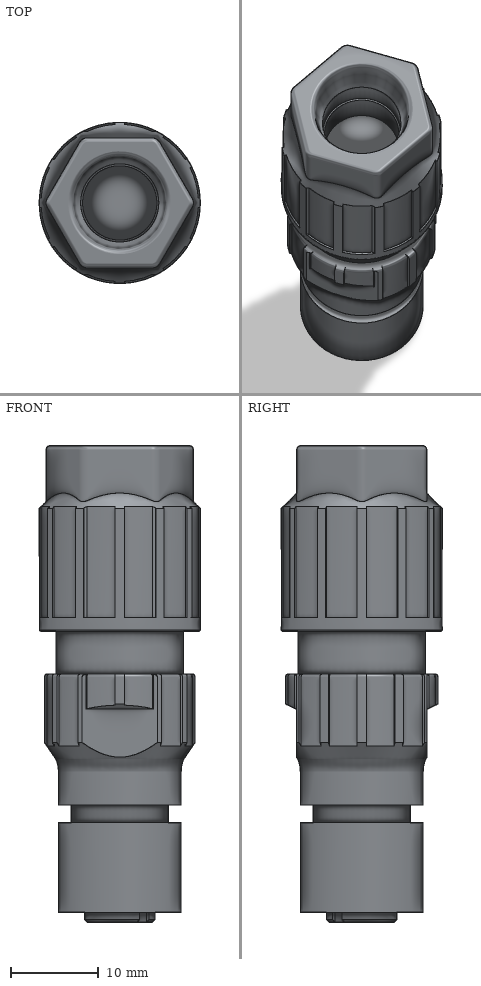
import cadquery as cq
import math

total_height = 54.4
sleeve_cone_top = 49.05
sleeve_shoulder = 47.2
sleeve_rib_bottom = 34.75
sleeve_bottom = 33.2
collar_top = 28.35
collar_cone_top = 20.5
collar_cone_bottom = 18.6
body_fillet_bottom = 17.2
groove_top = 13.4
groove_bottom = 11.35
plug_bottom = 1.15

neck_radius = 7.3
body_radius = 7.0
groove_radius = 5.55
plug_radius = 4.0
plug_chamfer = 0.3

rib_count = 12
rib_width = 1.1
rib_pitch = 360 / rib_count
slab_length = 54.4

sleeve_radius = 9.2
sleeve_rib_height = 0.2
sleeve_valley_radius = sleeve_radius - sleeve_rib_height
sleeve_lip_chamfer = 0.15
land_distance = 8.15

hex_across_flats = 14.85
hex_corner_radius = 1.1
hex_top_radius = 0.5

entry_radius = 5.4
entry_lip_radius = 0.5
bore_radius = 4.45
bore_top = 50.75
bore_ledge = 47.7
inner_bore_radius = 4.25
inner_bore_floor = 43.5

collar_radius = 8.6
collar_rib_height = 0.25
collar_valley_radius = collar_radius - collar_rib_height
collar_cone_end_radius = neck_radius
collar_top_radius = 0.3
flat_distance = 7.45
tab_width = 7.7
tab_reach = 8.7
tab_root_height = 24.3
tab_edge_height = 24.9

keyway_angle = -45
keyway_width = 1.5
keyway_depth = 0.45


def cylinder(radius, bottom, top):
    return cq.Workplane("XY").workplane(offset=bottom).circle(radius).extrude(top - bottom)


def radial_slab(angle, width, bottom, top):
    """Slab across the axis, running along the direction at an angle from X."""
    return (
        cq.Workplane("XY")
        .workplane(offset=bottom)
        .rect(slab_length, width)
        .extrude(top - bottom)
        .rotate((0, 0, 0), (0, 0, 1), angle)
    )


def all_rib_slabs(bottom, top):
    slabs = radial_slab(0, rib_width, bottom, top)
    for index in range(1, rib_count // 2):
        slabs = slabs.union(radial_slab(index * rib_pitch, rib_width, bottom, top))
    return slabs


def sleeve():
    """Turned sleeve with a 45 degree shoulder and valleys milled between the ribs."""
    cone_top_radius = sleeve_radius - (sleeve_cone_top - sleeve_shoulder)
    blank = (
        cq.Workplane("XZ")
        .moveTo(0, sleeve_bottom)
        .lineTo(sleeve_radius - sleeve_lip_chamfer, sleeve_bottom)
        .lineTo(sleeve_radius, sleeve_bottom + sleeve_lip_chamfer)
        .lineTo(sleeve_radius, sleeve_shoulder)
        .lineTo(cone_top_radius, sleeve_cone_top)
        .lineTo(0, sleeve_cone_top)
        .close()
        .revolve(360, (0, 0, 0), (0, 1, 0))
    )
    valleys = cylinder(slab_length / 2, sleeve_rib_bottom, sleeve_cone_top)
    valleys = valleys.cut(cylinder(sleeve_valley_radius, sleeve_rib_bottom, sleeve_cone_top))
    valleys = valleys.cut(all_rib_slabs(sleeve_rib_bottom, sleeve_cone_top))
    land_span = 2 * sleeve_radius * math.sin(math.radians(rib_pitch))
    lands = cq.Workplane("XY").box(land_span, 2 * land_distance, 2 * total_height)
    return blank.cut(valleys.cut(lands))


def hexagon_head():
    head_height = total_height - sleeve_shoulder
    corner_diameter = hex_across_flats / math.cos(math.pi / 6)
    return (
        cq.Workplane("XY")
        .workplane(offset=sleeve_shoulder)
        .polygon(6, corner_diameter)
        .extrude(head_height)
        .edges("|Z")
        .fillet(hex_corner_radius)
        .faces(">Z")
        .edges()
        .fillet(hex_top_radius)
    )


def cable_entry():
    """Rounded mouth, bowl-shaped wall, then a stepped blind bore."""
    lip_bottom = total_height - entry_lip_radius
    return (
        cq.Workplane("XZ")
        .moveTo(0, total_height)
        .lineTo(entry_radius + entry_lip_radius, total_height)
        .radiusArc((entry_radius, lip_bottom), -entry_lip_radius)
        .tangentArcPoint((bore_radius, bore_top), relative=False)
        .lineTo(bore_radius, bore_ledge)
        .lineTo(inner_bore_radius, bore_ledge)
        .lineTo(inner_bore_radius, inner_bore_floor)
        .lineTo(0, inner_bore_floor)
        .close()
        .revolve(360, (0, 0, 0), (0, 1, 0))
    )


def collar_blank(radius):
    """Turned collar with a rounded top edge and a tapered underside."""
    cone_slope = (collar_cone_top - collar_cone_bottom) / (collar_radius - collar_cone_end_radius)
    cone_top = collar_cone_bottom + cone_slope * (radius - collar_cone_end_radius)
    return (
        cq.Workplane("XZ")
        .moveTo(0, collar_cone_bottom)
        .lineTo(collar_cone_end_radius, collar_cone_bottom)
        .lineTo(radius, cone_top)
        .lineTo(radius, collar_top - collar_top_radius)
        .radiusArc((radius - collar_top_radius, collar_top), -collar_top_radius)
        .lineTo(0, collar_top)
        .close()
        .revolve(360, (0, 0, 0), (0, 1, 0))
    )


def side_flat_cutter():
    """Material removed on the -Y side: everything outside the flat except the tab."""
    size = 2 * tab_reach
    outside = (
        cq.Workplane("XY")
        .box(size, size, size, centered=(True, False, False))
        .translate((0, -flat_distance - size, collar_cone_bottom))
    )
    tab = (
        cq.Workplane("YZ")
        .moveTo(-flat_distance, tab_root_height)
        .lineTo(-tab_reach, tab_edge_height)
        .lineTo(-tab_reach, collar_top)
        .lineTo(-flat_distance, collar_top)
        .close()
        .extrude(tab_width / 2, both=True)
    )
    return outside.cut(tab)


def collar():
    ribs = collar_blank(collar_radius).intersect(all_rib_slabs(collar_cone_bottom, collar_top))
    tab_slab = radial_slab(90, tab_width, collar_cone_bottom, collar_top)
    tabs = collar_blank(tab_reach - collar_rib_height).intersect(tab_slab)
    tab_rib_slab = radial_slab(90, rib_width, collar_cone_bottom, collar_top)
    tab_ribs = collar_blank(tab_reach).intersect(tab_rib_slab)
    body = collar_blank(collar_valley_radius).union(ribs).union(tabs).union(tab_ribs)
    cutter = side_flat_cutter()
    return body.cut(cutter).cut(cutter.mirror("XZ"))


def stem():
    """Turned core: plug, coupling ring, groove, body and neck."""
    return (
        cq.Workplane("XZ")
        .moveTo(0, 0)
        .lineTo(plug_radius - plug_chamfer, 0)
        .lineTo(plug_radius, plug_chamfer)
        .lineTo(plug_radius, plug_bottom)
        .lineTo(body_radius, plug_bottom)
        .lineTo(body_radius, groove_bottom)
        .lineTo(groove_radius, groove_bottom)
        .lineTo(groove_radius, groove_top)
        .lineTo(body_radius, groove_top)
        .lineTo(body_radius, body_fillet_bottom)
        .tangentArcPoint((neck_radius, collar_cone_bottom), relative=False)
        .lineTo(neck_radius, sleeve_bottom)
        .lineTo(0, sleeve_bottom)
        .close()
        .revolve(360, (0, 0, 0), (0, 1, 0))
    )


def keyway():
    return (
        cq.Workplane("XY")
        .box(2 * keyway_depth, keyway_width, plug_bottom, centered=(True, True, False))
        .translate((plug_radius, 0, 0))
        .rotate((0, 0, 0), (0, 0, 1), keyway_angle)
    )


result = stem().cut(keyway())
for add_section in (collar, sleeve, hexagon_head):
    result = result.union(add_section())
result = result.cut(cable_entry())